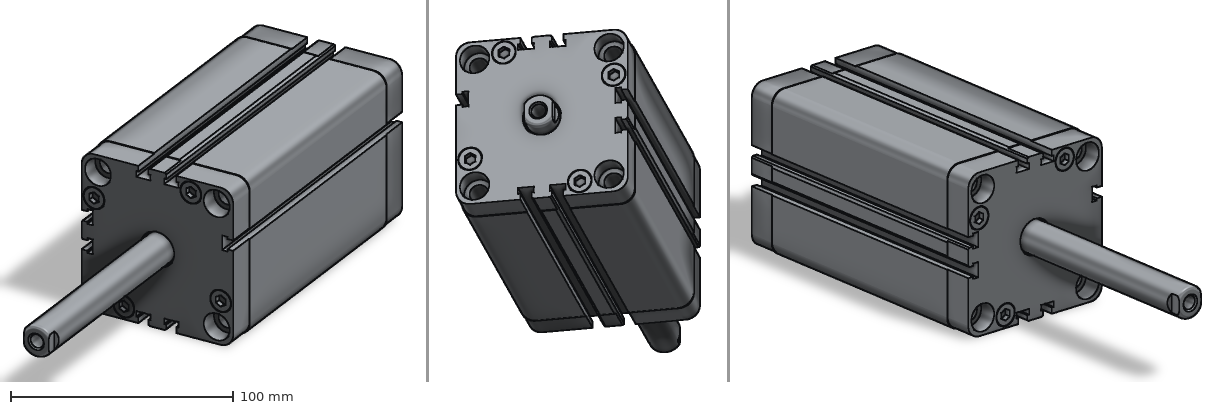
import cadquery as cq
import math

body_length = 150.0
cap_length = 14.25
tube_width = 80.0
cap_width = 79.2
tube_corner_radius = 7.0
cap_corner_radius = tube_corner_radius - (tube_width - cap_width) / 2
tube_length = body_length - 2 * cap_length
half_width = tube_width / 2

slot_neck_width = 5.2
slot_floor_width = 7.4
slot_depth = 6.2
slot_neck_depth = 3.4
slot_offset = 7.3
single_slot_height = 12.0
rib_chamfer_width = 1.4
rib_chamfer_depth = 1.0
slot_overcut = 1.0

mount_pitch = 62.0
mount_hole_diameter = 8.57
mount_bore_diameter = 13.5
mount_bore_depth = 9.0

screw_pocket_diameter = 11.1
screw_head_diameter = 10.5
screw_head_height = 6.0
screw_edge_offset = 33.1
screw_side_offset = 17.5
hex_sides = 6
hex_across_flats = 5.0
hex_depth = 3.0

rod_diameter = 16.0
rod_front_length = 107.5
rod_back_length = 7.5
rod_clearance_diameter = 17.6
rod_clearance_depth = 2.0
tip_fillet_radius = 1.8
flat_spacing = 13.0
flat_length = 5.1
flat_runout_length = 1.5
thread_hole_diameter = 6.65
thread_hole_depth = 20.0
thread_mouth_diameter = 8.25
drill_point_angle = 118.0


def square_prism(width, corner_radius, start, length):
    """Rounded square bar along +Y from Y = start."""
    bar = cq.Workplane("XY").box(width, length, width)
    return bar.edges("|Y").fillet(corner_radius).translate((0, start + length / 2, 0))


def cylinder(diameter, start, length, x=0.0, z=0.0):
    """Cylinder along +Y from Y = start."""
    origin = cq.Vector(x, start, z)
    return cq.Workplane(cq.Solid.makeCylinder(diameter / 2, length, origin, cq.Vector(0, 1, 0)))


def cone(start_diameter, end_diameter, start, length):
    """Coaxial cone along +Y from Y = start."""
    origin = cq.Vector(0, start, 0)
    axis = cq.Vector(0, 1, 0)
    return cq.Workplane(cq.Solid.makeCone(start_diameter / 2, end_diameter / 2, length, origin, axis))


def along_body(points):
    """Profile in X and Z run through the whole body length."""
    return cq.Workplane("XZ").polyline(points).close().extrude(-body_length)


def top_slot(offset):
    """Stepped slot in the +Z face at X = offset."""
    neck = slot_neck_width / 2
    floor = slot_floor_width / 2
    outside = half_width + slot_overcut
    step = half_width - slot_neck_depth
    bottom = half_width - slot_depth
    return along_body([
        (offset - neck, outside),
        (offset - neck, step),
        (offset - floor, step),
        (offset - floor, bottom),
        (offset + floor, bottom),
        (offset + floor, step),
        (offset + neck, step),
        (offset + neck, outside),
    ])


def rib_chamfer(side):
    """Bevel on one edge (side = -1 or 1) of the rib between the paired slots."""
    rib_edge = slot_offset - slot_neck_width / 2
    return along_body([
        (side * (rib_edge - rib_chamfer_width), half_width),
        (side * rib_edge, half_width - rib_chamfer_depth),
        (side * rib_edge, half_width),
    ])


def slot_pair():
    """Two slots in the +Z face with the bevelled rib between them."""
    pair = top_slot(-slot_offset).union(top_slot(slot_offset))
    return pair.union(rib_chamfer(-1)).union(rib_chamfer(1))


def turned(shape, angle):
    """Shape turned about the rod axis."""
    return shape.rotate((0, 0, 0), (0, 1, 0), angle)


def both_ends(shape):
    """Front feature together with its mirror image at the back of the body."""
    return shape.union(shape.mirror("XZ", (0, body_length / 2, 0)))


def make_body():
    body = square_prism(cap_width, cap_corner_radius, 0, body_length)
    body = body.union(square_prism(tube_width, tube_corner_radius, cap_length, tube_length))
    for angle in (0, 180, -90):
        body = body.cut(turned(slot_pair(), angle))
    return body.cut(turned(top_slot(-single_slot_height), 90))


def cut_mounting_holes(body):
    for x in (-mount_pitch / 2, mount_pitch / 2):
        for z in (-mount_pitch / 2, mount_pitch / 2):
            body = body.cut(cylinder(mount_hole_diameter, 0, body_length, x, z))
            body = body.cut(both_ends(cylinder(mount_bore_diameter, 0, mount_bore_depth, x, z)))
    return body


def screw_recess(x, z):
    """Ring gap around a screw head and its hexagon socket with corners up and down."""
    pocket = cylinder(screw_pocket_diameter, 0, screw_head_height, x, z)
    gap = pocket.cut(cylinder(screw_head_diameter, 0, screw_head_height, x, z))
    hex_across_corners = hex_across_flats / math.cos(math.pi / hex_sides)
    hexagon = cq.Sketch().regularPolygon(hex_across_corners / 2, hex_sides)
    socket = cq.Workplane("XZ").center(x, z).placeSketch(hexagon).extrude(-hex_depth)
    return gap.union(socket)


def cut_screw_recesses(body):
    screw_places = [
        (screw_side_offset, screw_edge_offset),
        (screw_edge_offset, -screw_side_offset),
        (-screw_side_offset, -screw_edge_offset),
        (-screw_edge_offset, screw_side_offset),
    ]
    for x, z in screw_places:
        body = body.cut(both_ends(screw_recess(x, z)))
    return body


def rod_tip_cutter():
    """Wrench flats and countersunk thread hole of the front rod end."""
    tip = -rod_front_length
    point_length = thread_hole_diameter / 2 / math.tan(math.radians(drill_point_angle / 2))
    mouth_depth = (thread_mouth_diameter - thread_hole_diameter) / 2
    cutter = cylinder(thread_hole_diameter, tip, thread_hole_depth)
    cutter = cutter.union(cone(thread_hole_diameter, 0, tip + thread_hole_depth, point_length))
    cutter = cutter.union(cone(thread_mouth_diameter, thread_hole_diameter, tip, mouth_depth))
    for side in (-1, 1):
        flat = cq.Workplane("XY").polyline([
            (side * flat_spacing / 2, tip),
            (side * flat_spacing / 2, tip + flat_length),
            (side * rod_diameter / 2, tip + flat_length + flat_runout_length),
            (side * rod_diameter / 2, tip),
        ]).close().extrude(rod_diameter / 2, both=True)
        cutter = cutter.union(flat)
    return cutter


def make_rod():
    rod_length = rod_front_length + body_length + rod_back_length
    rod = cylinder(rod_diameter, -rod_front_length, rod_length)
    rod = rod.faces("<Y or >Y").edges().fillet(tip_fillet_radius)
    front_cutter = rod_tip_cutter()
    rod_middle = rod_length / 2 - rod_front_length
    return rod.cut(front_cutter).cut(front_cutter.mirror("XZ", (0, rod_middle, 0)))


def make_part():
    body = cut_screw_recesses(cut_mounting_holes(make_body()))
    body = body.cut(both_ends(cylinder(rod_clearance_diameter, 0, rod_clearance_depth)))
    body = body.cut(cylinder(rod_diameter, 0, body_length))
    return body.union(make_rod())


result = make_part()